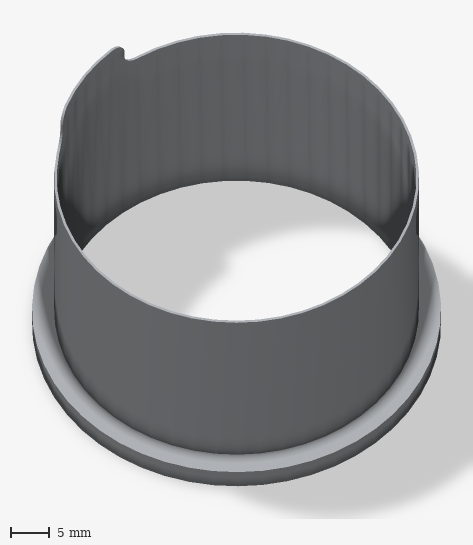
import cadquery as cq

flange_diameter = 52.74
sleeve_diameter = 47.05
bore_diameter = 46.36
flange_thickness = 3.0
rim_height = 31.0
total_height = 36.0
tab_width = 14.6
tab_corner_radius = 2.0
tab_root_radius = 2.0


def make_flanged_tube():
    """Thin tube with a flange at its base, as tall as the tab all round."""
    flange = cq.Workplane("XY").circle(flange_diameter / 2).extrude(flange_thickness)
    tube = cq.Workplane("XY").circle(sleeve_diameter / 2).extrude(total_height)
    bore = cq.Workplane("XY").circle(bore_diameter / 2).extrude(total_height)
    return flange.union(tube).cut(bore)


def make_tab_prism():
    """Tab outline in the YZ plane, swept from the axis toward -X past the sleeve wall."""
    side = tab_width / 2
    root_edge = side + tab_root_radius
    corner_edge = side - tab_corner_radius
    root_top = rim_height + tab_root_radius
    corner_base = total_height - tab_corner_radius
    return (
        cq.Workplane("YZ")
        .moveTo(-root_edge, flange_thickness)
        .lineTo(-root_edge, rim_height)
        .radiusArc((-side, root_top), -tab_root_radius)
        .lineTo(-side, corner_base)
        .radiusArc((-corner_edge, total_height), tab_corner_radius)
        .lineTo(corner_edge, total_height)
        .radiusArc((side, corner_base), tab_corner_radius)
        .lineTo(side, root_top)
        .radiusArc((root_edge, rim_height), -tab_root_radius)
        .lineTo(root_edge, flange_thickness)
        .close()
        .extrude(-flange_diameter / 2)
    )


def make_envelope():
    """Everything up to the rim, plus the tab on the -X side."""
    below_rim = cq.Workplane("XY").rect(2 * flange_diameter, 2 * flange_diameter).extrude(rim_height)
    return below_rim.union(make_tab_prism())


result = make_flanged_tube().intersect(make_envelope())